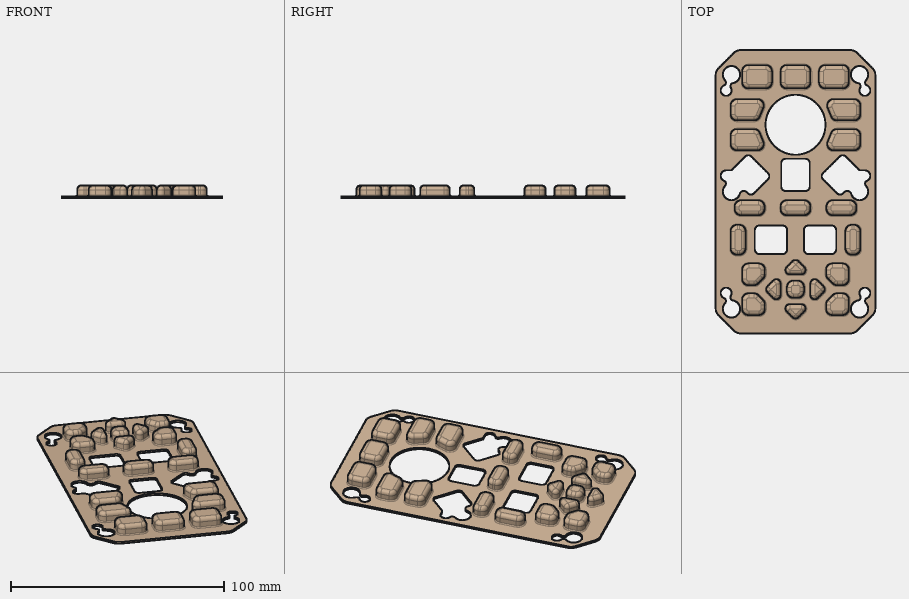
import cadquery as cq
import math

PLATE_WIDTH = 75.0
PLATE_LENGTH = 133.0
PLATE_THICKNESS = 1.0
PLATE_CHAMFER = 10.0
PLATE_CORNER_RADIUS = 5.0

TOTAL_HEIGHT = 6.0
KEY_CORNER_RADIUS = 3.0
KEY_TOP_FILLET = 2.0
KEY_BASE_FILLET = 0.5

KEY_LONG = 14.0
TOP_KEY_HEIGHT = 11.0
TOP_ROW_Y = 53.9
TOP_ROW_PITCH = 18.0

BAR_KEY_WIDTH = 7.0
BAR_ROW_Y = -7.5
BAR_ROW_PITCH = 21.5

SIDE_KEY_EDGE_X = 30.4
SIDE_BAR_X = SIDE_KEY_EDGE_X - BAR_KEY_WIDTH / 2

KEY_ROW_PITCH = 14.0

SLANT_PAIR_Y = 31.4
SLANT_KEY_HEIGHT = 10.0
SLANT_KEY_LONG_SIDE = 17.0
SLANT_KEY_SHORT_SIDE = 12.9

NAV_Y = -45.7
NAV_CENTER_SIZE = 8.0
ARROW_BASE_DISTANCE = 9.0
ARROW_TOP_LENGTH = 2.7
ARROW_CORNER_RADIUS = KEY_TOP_FILLET

CUT_KEY_OUTER_X = 25.0
CUT_KEY_WIDTH = 10.7
CUT_KEY_HEIGHT = 10.2
CUT_KEY_CHAMFER = 4.0

ROUND_WINDOW_DIAMETER = 28.0
WINDOW_LONG = 15.0
WINDOW_SHORT = 13.25
WINDOW_RADIUS = 2.0
UPPER_WINDOW_Y = 7.9
LOWER_WINDOW_X = 11.5
LOWER_WINDOW_Y = -22.5
TILTED_WINDOW_X = 21.5
TILT_ANGLE = 45.0

KEYHOLE_LARGE_RADIUS = 4.0
KEYHOLE_SMALL_RADIUS = 2.5
KEYHOLE_WAIST_RADIUS = 1.5
KEYHOLE_X = 30.0
KEYHOLE_Y = 54.9
TILTED_KEYHOLE_Y = 0.1
KEYHOLE_SHIFT_X = 2.5
KEYHOLE_SHIFT_Y = 7.4

SIDES = (-1, 1)


def make_plate():
    """Flat plate with chamfered corners, each chamfer blended into the sides."""
    plate = cq.Workplane("XY").box(
        PLATE_WIDTH, PLATE_LENGTH, PLATE_THICKNESS, centered=(True, True, False)
    )
    plate = plate.edges("|Z").chamfer(PLATE_CHAMFER)
    return plate.edges("|Z").fillet(PLATE_CORNER_RADIUS)


def make_key(corners, corner_radius=KEY_CORNER_RADIUS):
    """Key with the given sharp outline, rounded at its corners and around its top."""
    key = cq.Workplane("XY").polyline(corners).close().extrude(TOTAL_HEIGHT)
    key = key.edges("|Z").fillet(corner_radius)
    return key.faces(">Z").edges().fillet(KEY_TOP_FILLET)


def rectangle_key(x, y, width, height):
    half_width = width / 2
    half_height = height / 2
    return make_key([
        (x - half_width, y - half_height),
        (x + half_width, y - half_height),
        (x + half_width, y + half_height),
        (x - half_width, y + half_height),
    ])


def slanted_key(side, vertical):
    """Key whose inner end slants to clear the round window; vertical is +1 above it, -1 below."""
    middle_y = SLANT_PAIR_Y + vertical * KEY_ROW_PITCH / 2
    far_y = middle_y + vertical * SLANT_KEY_HEIGHT / 2
    near_y = middle_y - vertical * SLANT_KEY_HEIGHT / 2
    return make_key([
        (side * SIDE_KEY_EDGE_X, near_y),
        (side * (SIDE_KEY_EDGE_X - SLANT_KEY_SHORT_SIDE), near_y),
        (side * (SIDE_KEY_EDGE_X - SLANT_KEY_LONG_SIDE), far_y),
        (side * SIDE_KEY_EDGE_X, far_y),
    ])


def cut_corner_key(side, vertical):
    """Key beside the navigation cluster with the corner facing the cluster cut off."""
    middle_y = NAV_Y + vertical * KEY_ROW_PITCH / 2
    far_y = middle_y + vertical * CUT_KEY_HEIGHT / 2
    near_y = middle_y - vertical * CUT_KEY_HEIGHT / 2
    inner_x = CUT_KEY_OUTER_X - CUT_KEY_WIDTH
    return make_key([
        (side * CUT_KEY_OUTER_X, far_y),
        (side * inner_x, far_y),
        (side * inner_x, near_y + vertical * CUT_KEY_CHAMFER),
        (side * (inner_x + CUT_KEY_CHAMFER), near_y),
        (side * CUT_KEY_OUTER_X, near_y),
    ])


def arrow_key(angle):
    """Triangular key pointing away from the middle of the navigation cluster."""
    base_y = ARROW_BASE_DISTANCE - ARROW_CORNER_RADIUS
    apex_y = ARROW_BASE_DISTANCE + ARROW_TOP_LENGTH + ARROW_CORNER_RADIUS * math.sqrt(2)
    half_base = apex_y - base_y
    key = make_key([(-half_base, base_y), (half_base, base_y), (0, apex_y)], ARROW_CORNER_RADIUS)
    return key.rotate((0, 0, 0), (0, 0, 1), angle).translate((0, NAV_Y, 0))


def make_keys():
    keys = [rectangle_key(0, NAV_Y, NAV_CENTER_SIZE, NAV_CENTER_SIZE)]
    for column in (-1, 0, 1):
        keys.append(rectangle_key(column * TOP_ROW_PITCH, TOP_ROW_Y, KEY_LONG, TOP_KEY_HEIGHT))
        keys.append(rectangle_key(column * BAR_ROW_PITCH, BAR_ROW_Y, KEY_LONG, BAR_KEY_WIDTH))
    for side in SIDES:
        keys.append(rectangle_key(side * SIDE_BAR_X, LOWER_WINDOW_Y, BAR_KEY_WIDTH, KEY_LONG))
        for vertical in SIDES:
            keys.append(slanted_key(side, vertical))
            keys.append(cut_corner_key(side, vertical))
    for quarter in range(4):
        keys.append(arrow_key(quarter * 90))
    return keys


def blend_key_bases(body):
    """Fillet where the keys meet the plate; the plate's own rim lies outside the box."""
    reach_x = SIDE_KEY_EDGE_X + KEY_BASE_FILLET
    reach_y = TOP_ROW_Y + TOP_KEY_HEIGHT / 2 + KEY_BASE_FILLET
    margin = PLATE_THICKNESS / 10
    base_edges = cq.selectors.BoxSelector(
        (-reach_x, -reach_y, PLATE_THICKNESS - margin),
        (reach_x, reach_y, PLATE_THICKNESS + margin),
    )
    return body.edges(base_edges).fillet(KEY_BASE_FILLET)


def disc(x, y, radius):
    return cq.Workplane("XY").center(x, y).circle(radius).extrude(PLATE_THICKNESS)


def window(x, y, width, height, angle=0):
    opening = cq.Workplane("XY").rect(width, height).extrude(PLATE_THICKNESS)
    opening = opening.edges("|Z").fillet(WINDOW_RADIUS)
    return opening.rotate((0, 0, 0), (0, 0, 1), angle).translate((x, y, 0))


def keyhole():
    """Large circle at the origin and a small one up and to the right, joined by a waist.

    The waist is bounded by two arcs tangent to both circles.
    """
    center_distance = math.hypot(KEYHOLE_SHIFT_X, KEYHOLE_SHIFT_Y)
    to_large = KEYHOLE_LARGE_RADIUS + KEYHOLE_WAIST_RADIUS
    to_small = KEYHOLE_SMALL_RADIUS + KEYHOLE_WAIST_RADIUS
    along = (to_large**2 - to_small**2 + center_distance**2) / (2 * center_distance)
    across = math.sqrt(to_large**2 - along**2)

    waist = cq.Workplane("XY").polyline([
        (0, 0), (along, across), (center_distance, 0), (along, -across)
    ]).close().extrude(PLATE_THICKNESS)
    for flank in SIDES:
        waist = waist.cut(disc(along, flank * across, KEYHOLE_WAIST_RADIUS))
    opening = waist.union(disc(0, 0, KEYHOLE_LARGE_RADIUS))
    opening = opening.union(disc(center_distance, 0, KEYHOLE_SMALL_RADIUS))
    direction = math.degrees(math.atan2(KEYHOLE_SHIFT_Y, KEYHOLE_SHIFT_X))
    return opening.rotate((0, 0, 0), (0, 0, 1), direction)


def tilted_opening(upright_keyhole):
    """Window turned by 45 degrees that runs into a keyhole on the right-hand side."""
    tilted = window(TILTED_WINDOW_X, UPPER_WINDOW_Y, WINDOW_SHORT, WINDOW_LONG, -TILT_ANGLE)
    diagonal = math.sqrt(2)

    small_x = KEYHOLE_X + KEYHOLE_SHIFT_X
    small_y = TILTED_KEYHOLE_Y + KEYHOLE_SHIFT_Y
    level_y = small_y + KEYHOLE_SMALL_RADIUS
    level_end_x = TILTED_WINDOW_X + UPPER_WINDOW_Y + WINDOW_LONG / diagonal - level_y

    window_to_keyhole = (KEYHOLE_X - TILTED_WINDOW_X + UPPER_WINDOW_Y - TILTED_KEYHOLE_Y) / diagonal
    nose_inset = window_to_keyhole - WINDOW_SHORT / 2 - WINDOW_RADIUS
    nose_slide = math.sqrt((KEYHOLE_LARGE_RADIUS + WINDOW_RADIUS) ** 2 - nose_inset**2)
    nose_x = KEYHOLE_X - (nose_inset + nose_slide) / diagonal
    nose_y = TILTED_KEYHOLE_Y + (nose_inset - nose_slide) / diagonal
    touch_step = WINDOW_RADIUS / diagonal

    bridge = cq.Workplane("XY").polyline([
        (KEYHOLE_X, TILTED_KEYHOLE_Y),
        (small_x, small_y),
        (small_x, level_y),
        (level_end_x, level_y),
        (TILTED_WINDOW_X, UPPER_WINDOW_Y),
        (nose_x - touch_step, nose_y + touch_step),
        (nose_x, nose_y),
    ]).close().extrude(PLATE_THICKNESS)
    bridge = bridge.cut(disc(nose_x, nose_y, WINDOW_RADIUS))
    placed_keyhole = upright_keyhole.translate((KEYHOLE_X, TILTED_KEYHOLE_Y, 0))
    return placed_keyhole.union(tilted).union(bridge)


def make_openings():
    upright = keyhole()
    inverted = upright.mirror("XZ")
    right_side = [
        inverted.translate((KEYHOLE_X, KEYHOLE_Y, 0)),
        upright.translate((KEYHOLE_X, -KEYHOLE_Y, 0)),
        tilted_opening(upright),
        window(LOWER_WINDOW_X, LOWER_WINDOW_Y, WINDOW_LONG, WINDOW_SHORT),
    ]
    openings = [
        disc(0, SLANT_PAIR_Y, ROUND_WINDOW_DIAMETER / 2),
        window(0, UPPER_WINDOW_Y, WINDOW_SHORT, WINDOW_LONG),
    ]
    for opening in right_side:
        openings.append(opening)
        openings.append(opening.mirror("YZ"))
    return openings


def make_keypad():
    keypad = make_plate()
    for key in make_keys():
        keypad = keypad.union(key)
    keypad = blend_key_bases(keypad)
    for opening in make_openings():
        keypad = keypad.cut(opening)
    return keypad


result = make_keypad()